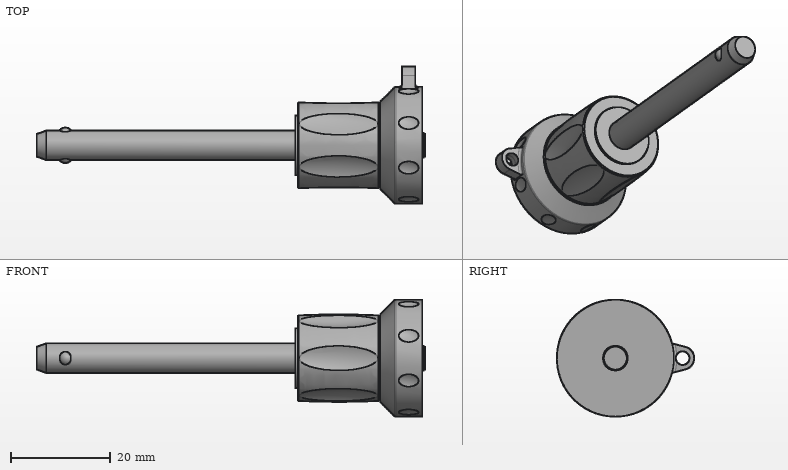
import cadquery as cq
import math


grip_length = 52.0
shaft_radius = 3.0
tip_radius = 2.3
tip_taper_length = 1.9
ball_radius = 1.4
ball_protrusion = 0.6
ball_from_tip = 5.75

collar_radius = 6.05
collar_thickness = 0.5
handle_length = 16.3
handle_end_radius = 8.65
handle_mid_radius = 8.85
handle_front_chamfer = 0.25
handle_rear_chamfer = 0.1

flute_count = 6
flute_width = 4.96
flute_floor_radius = 8.04

groove_radius = 7.0
groove_width = 0.3
flare_start_radius = 8.8
rim_radius = 11.8
rim_width = 5.5
rim_corner_fillet = 0.4

dimple_count = 8
dimple_length = 4.1
dimple_width = 2.7
dimple_depth = 0.35

cutter_end_clearance = 0.02

button_radius = 2.3
button_foot_radius = 2.5
button_foot_height = 0.25
button_height = 0.6

tab_reach = 15.89
tab_thickness = 2.7
tab_end_radius = 2.35
tab_hole_radius = 1.35
tab_taper_angle = 15.0
tab_root_fillet = 0.5

tip_x = -grip_length
handle_start_x = collar_thickness
handle_end_x = handle_start_x + handle_length
handle_front_edge_x = handle_start_x + handle_front_chamfer
handle_rear_edge_x = handle_end_x - handle_rear_chamfer
handle_mid_x = (handle_front_edge_x + handle_rear_edge_x) / 2
flare_start_x = handle_end_x + groove_width
rim_start_x = flare_start_x + rim_radius - flare_start_radius
rim_end_x = rim_start_x + rim_width
rim_mid_x = (rim_start_x + rim_end_x) / 2


def arc_radius(half_chord, rise):
    """Radius of the circle through a chord and its rise."""
    return (half_chord**2 + rise**2) / (2 * rise)


def turned(profile):
    """Revolve a closed profile in the XZ plane about the X axis."""
    return profile.close().revolve(360, (0, 0, 0), (1, 0, 0))


def rotated_copies(body, count, start_angle):
    """Bodies spaced evenly around the X axis."""
    return [
        body.rotate((0, 0, 0), (1, 0, 0), start_angle + index * 360 / count)
        for index in range(count)
    ]


def make_spindle_cutter(front_x, rear_x, end_radius, mid_radius, floor_radius, width):
    """Spindle parallel to X that cuts a lens-shaped hollow on the -Y side.

    The surface has end_radius at front_x and rear_x, and mid_radius halfway between them.
    """
    half_width = width / 2
    rim_y = math.sqrt(mid_radius**2 - half_width**2)
    belly_radius = arc_radius(half_width, rim_y - floor_radius)
    axis_y = -(floor_radius + belly_radius)
    end_y = -(end_radius + cutter_end_clearance)
    return (
        cq.Workplane("XY")
        .moveTo(front_x, axis_y)
        .lineTo(front_x, end_y)
        .threePointArc(((front_x + rear_x) / 2, -floor_radius), (rear_x, end_y))
        .lineTo(rear_x, axis_y)
        .close()
        .revolve(360, (front_x, axis_y, 0), (rear_x, axis_y, 0))
    )


def make_shaft():
    shaft = turned(
        cq.Workplane("XZ")
        .moveTo(tip_x, 0)
        .lineTo(tip_x, tip_radius)
        .lineTo(tip_x + tip_taper_length, shaft_radius)
        .lineTo(handle_mid_x, shaft_radius)
        .lineTo(handle_mid_x, 0)
    )
    ball_center_y = shaft_radius + ball_protrusion - ball_radius
    for side in (-1, 1):
        ball = cq.Workplane("XY").sphere(ball_radius)
        shaft = shaft.union(ball.translate((tip_x + ball_from_tip, side * ball_center_y, 0)))
    return shaft


def make_handle():
    handle = turned(
        cq.Workplane("XZ")
        .lineTo(0, collar_radius)
        .lineTo(handle_start_x, collar_radius)
        .lineTo(handle_start_x, handle_end_radius - handle_front_chamfer)
        .lineTo(handle_front_edge_x, handle_end_radius)
        .threePointArc((handle_mid_x, handle_mid_radius), (handle_rear_edge_x, handle_end_radius))
        .lineTo(handle_end_x, handle_end_radius - handle_rear_chamfer)
        .lineTo(handle_end_x, 0)
    )
    cutter = make_spindle_cutter(
        handle_front_edge_x, handle_rear_edge_x,
        handle_end_radius, handle_mid_radius, flute_floor_radius, flute_width,
    )
    for flute in rotated_copies(cutter, flute_count, 0):
        handle = handle.cut(flute)
    return handle


def make_flange():
    flange = turned(
        cq.Workplane("XZ")
        .moveTo(handle_end_x, 0)
        .lineTo(handle_end_x, groove_radius)
        .lineTo(flare_start_x, groove_radius)
        .lineTo(flare_start_x, flare_start_radius)
        .lineTo(rim_start_x, rim_radius)
        .lineTo(rim_end_x, rim_radius)
        .lineTo(rim_end_x, button_foot_radius)
        .lineTo(rim_end_x + button_foot_height, button_foot_radius)
        .lineTo(rim_end_x + button_foot_height, button_radius)
        .lineTo(rim_end_x + button_height, button_radius)
        .lineTo(rim_end_x + button_height, 0)
    )
    corner = cq.selectors.BoxSelector(
        (rim_start_x - rim_corner_fillet, -rim_radius, -rim_radius),
        (rim_start_x + rim_corner_fillet, rim_radius, rim_radius),
    )
    return flange.edges("%CIRCLE").edges(corner).fillet(rim_corner_fillet)


def cut_dimples(flange):
    half_length = dimple_length / 2
    cutter = make_spindle_cutter(
        rim_mid_x - half_length, rim_mid_x + half_length,
        rim_radius, rim_radius, rim_radius - dimple_depth, dimple_width,
    )
    half_pitch = 180 / dimple_count
    for dimple in rotated_copies(cutter, dimple_count, half_pitch):
        flange = flange.cut(dimple)
    return flange


def add_lanyard_tab(flange):
    eye_y = tab_reach - tab_end_radius
    root_y = rim_radius / 2
    taper = math.radians(tab_taper_angle)
    tangent_y = eye_y + tab_end_radius * math.sin(taper)
    tangent_z = tab_end_radius * math.cos(taper)
    root_z = tangent_z + (tangent_y - root_y) * math.tan(taper)
    tab_plane = cq.Workplane("YZ", origin=(rim_mid_x, 0, 0))
    tab = (
        tab_plane
        .moveTo(root_y, -root_z)
        .lineTo(tangent_y, -tangent_z)
        .threePointArc((tab_reach, 0), (tangent_y, tangent_z))
        .lineTo(root_y, root_z)
        .close()
        .extrude(tab_thickness / 2, both=True)
    )
    reach_x = tab_thickness / 2 + tab_root_fillet
    root_edges = cq.selectors.BoxSelector(
        (rim_mid_x - reach_x, rim_radius - tab_root_fillet, -tab_root_fillet),
        (rim_mid_x + reach_x, rim_radius + tab_root_fillet, tab_root_fillet),
    )
    eye = tab_plane.center(eye_y, 0).circle(tab_hole_radius).extrude(tab_thickness, both=True)
    return flange.union(tab).edges(root_edges).fillet(tab_root_fillet).cut(eye)


flange = add_lanyard_tab(cut_dimples(make_flange()))
result = make_shaft().union(make_handle()).union(flange)